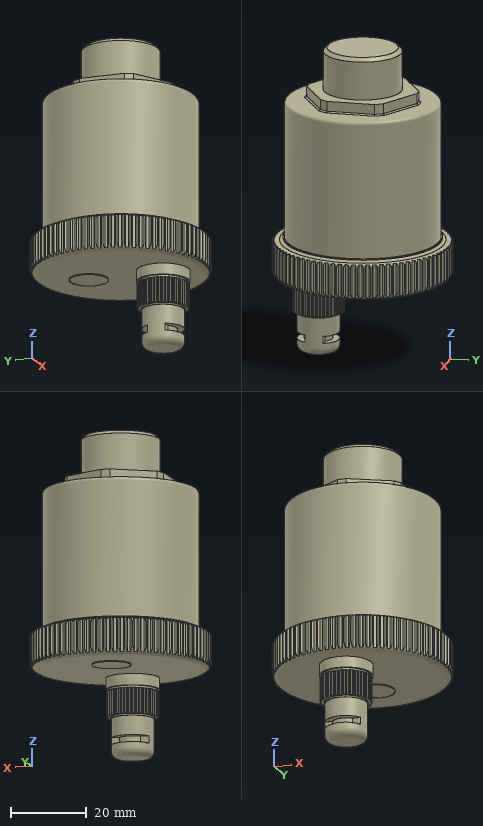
import cadquery as cq
import math


cap_radius = 23.95
cap_plateau_height = 9.8
cap_top_fillet = 0.9
cap_bottom_fillet = 2.0
cap_tooth_count = 80
cap_tooth_depth = 0.5
cap_tooth_angle = 0.7
collar_rim_radius = 21.1
collar_base_radius = 22.0
collar_top = 10.65
collar_rim_height = 0.3

body_radius = 20.75
body_top = 48.3
body_fillet = 1.0

hex_across_flats = 27.1
hex_corner_radius = 15.0
hex_flare = 0.5
hex_flare_height = 0.35
hex_top = 51.35

spigot_diameter = 20.955
spigot_top = 62.8
spigot_chamfer = 1.0

pad_radius = 5.2
pad_thickness = 0.25
pad_y = 9.05

stem_x = 0.1
stem_y = -12.0
stem_collar_radius = 7.1
stem_collar_bottom = -3.05
stem_neck_radius = 6.6
stem_knurl_top = -3.65
stem_knurl_radius = 6.9
stem_knurl_bottom = -10.5
stem_tooth_count = 42
stem_tooth_depth = 0.3
stem_relief_radius = 5.85
stem_relief_bottom = -10.95
stem_tip_radius = 5.7
stem_tip_fillet = 2.0
stem_bottom = -21.6

slot_top = -16.15
slot_bottom = -18.05
slot_floor_offset = 2.5
slot_core_radius = 3.82

tip_share = 0.2
root_share = 0.4


def cylinder(radius, bottom, top, x=0, y=0):
    return cq.Workplane("XY", origin=(x, y, bottom)).circle(radius).extrude(top - bottom)


def polar(radius, angle):
    return (radius * math.cos(angle), radius * math.sin(angle))


def toothed_cylinder(tip_radius, depth, count, start_degrees, bottom, top, x=0, y=0):
    """Cylinder with straight trapezoidal teeth parallel to Z."""
    pitch = 2 * math.pi / count
    root_radius = tip_radius - depth
    half_tip = pitch * tip_share / 2
    half_root = pitch * root_share / 2
    points = []
    for index in range(count):
        tip_angle = math.radians(start_degrees) + index * pitch
        root_angle = tip_angle + pitch / 2
        points.append(polar(tip_radius, tip_angle - half_tip))
        points.append(polar(tip_radius, tip_angle + half_tip))
        points.append(polar(root_radius, root_angle - half_root))
        points.append(polar(root_radius, root_angle + half_root))
    outline = cq.Workplane("XY", origin=(x, y, bottom)).polyline(points).close()
    return outline.extrude(top - bottom)


def make_collar():
    """Ring around the body: a short upright rim above a shallow cone."""
    rim_bottom = collar_top - collar_rim_height
    cone = (
        cq.Workplane("XY", origin=(0, 0, cap_plateau_height))
        .circle(collar_base_radius)
        .workplane(offset=rim_bottom - cap_plateau_height)
        .circle(collar_rim_radius)
        .loft()
    )
    return cone.union(cylinder(collar_rim_radius, rim_bottom, collar_top))


def make_cap():
    blank = cylinder(cap_radius, 0, cap_plateau_height)
    blank = blank.faces(">Z").edges().fillet(cap_top_fillet)
    blank = blank.faces("<Z").edges().fillet(cap_bottom_fillet)
    teeth = toothed_cylinder(
        cap_radius, cap_tooth_depth, cap_tooth_count, cap_tooth_angle, 0, cap_plateau_height
    )
    return blank.intersect(teeth).union(make_collar())


def make_body():
    body = cylinder(body_radius, cap_plateau_height, body_top)
    return body.faces(">Z").edges().fillet(body_fillet)


def hex_outline(bottom):
    """Hexagon with flats facing +X and -X and each corner trimmed to a short flat."""
    flat_distance = hex_across_flats / 2
    half_flat_angle = math.acos(flat_distance / hex_corner_radius)
    points = []
    for side in range(6):
        side_angle = side * math.pi / 3
        points.append(polar(hex_corner_radius, side_angle - half_flat_angle))
        points.append(polar(hex_corner_radius, side_angle + half_flat_angle))
    return cq.Workplane("XY", origin=(0, 0, bottom)).polyline(points).close()


def make_hex():
    flare_taper = math.degrees(math.atan2(hex_flare, hex_flare_height))
    flare_top = body_top + hex_flare_height
    prism = hex_outline(body_top).extrude(hex_top - body_top)
    foot = hex_outline(flare_top).extrude(-hex_flare_height, taper=-flare_taper)
    return prism.union(foot)


def make_spigot():
    spigot = cylinder(spigot_diameter / 2, body_top, spigot_top)
    return spigot.faces(">Z").edges().chamfer(spigot_chamfer)


def make_pad():
    return cylinder(pad_radius, -pad_thickness, cap_bottom_fillet, y=pad_y)


def make_stem_slots():
    slot_height = slot_top - slot_bottom
    slot_depth = stem_tip_radius - slot_floor_offset
    slot_centre = slot_floor_offset + slot_depth / 2
    slots = (
        cq.Workplane("XY", origin=(stem_x, stem_y, slot_bottom))
        .pushPoints([(0, slot_centre), (0, -slot_centre)])
        .rect(2 * stem_tip_radius, slot_depth)
        .extrude(slot_height)
    )
    return slots.cut(cylinder(slot_core_radius, slot_bottom, slot_top, stem_x, stem_y))


def make_stem():
    tip = cylinder(stem_tip_radius, stem_bottom, stem_relief_bottom, stem_x, stem_y)
    tip = tip.faces("<Z").edges().fillet(stem_tip_fillet)
    tip = tip.cut(make_stem_slots())
    relief = cylinder(stem_relief_radius, stem_relief_bottom, stem_knurl_bottom, stem_x, stem_y)
    knurl = toothed_cylinder(
        stem_knurl_radius, stem_tooth_depth, stem_tooth_count, 0,
        stem_knurl_bottom, stem_knurl_top, stem_x, stem_y,
    )
    neck = cylinder(stem_neck_radius, stem_knurl_top, stem_collar_bottom, stem_x, stem_y)
    collar = cylinder(stem_collar_radius, stem_collar_bottom, cap_bottom_fillet, stem_x, stem_y)
    return collar.union(neck).union(knurl).union(relief).union(tip)


result = (
    make_cap()
    .union(make_body())
    .union(make_hex())
    .union(make_spigot())
    .union(make_pad())
    .union(make_stem())
)